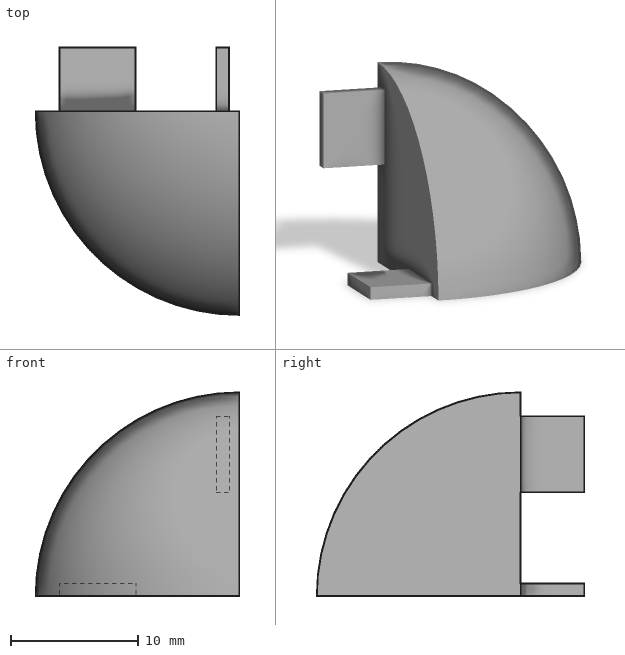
import cadquery as cq

radius = 16.0
tab_length = 5.0
tab_width = 5.98
tab_thickness = 1.0
rim_gap = 1.87
side_gap = 0.82
tab_start = radius - rim_gap - tab_width


def sphere_octant():
    """Solid eighth of a sphere, centred on the origin, toward -X, -Y and +Z."""
    ball = cq.Workplane("XY").sphere(radius)
    corner = cq.Workplane("XY").box(radius, radius, radius, centered=False)
    return ball.intersect(corner.translate((-radius, -radius, 0)))


def back_tab(size_x, size_z, left, bottom):
    """Rectangular tab standing out from the back face toward +Y."""
    tab = cq.Workplane("XY").box(size_x, tab_length, size_z, centered=False)
    return tab.translate((left, 0, bottom))


flat_tab = back_tab(tab_width, tab_thickness, rim_gap - radius, 0)
upright_tab = back_tab(tab_thickness, tab_width, -side_gap - tab_thickness, tab_start)

result = sphere_octant().union(flat_tab).union(upright_tab)